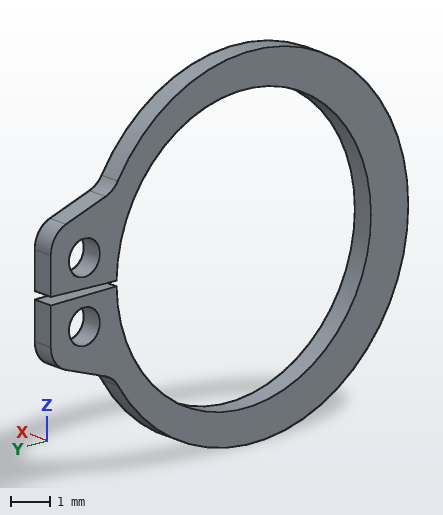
import cadquery as cq
import math

thickness = 0.64
bore_radius = 4.3
outer_radius = 5.3
overall_length = 12.09
outer_offset = 0.265

lug_end = overall_length - outer_radius - outer_offset
lug_end_half_height = 1.79
lug_flare_angle = 19.0
lug_corner_radius = 0.77
neck_radius = 0.77
gap_half_angle = 1.0

hole_diameter = 1.04
hole_y = 5.39
hole_z = 0.93


def slab(outline):
    """Extrude a YZ outline symmetrically about the mid-plane."""
    return outline.extrude(thickness / 2, both=True)


def make_lugs():
    """Trapezoid for both lugs, widening from the lug end to the bore axis."""
    root_half_height = lug_end_half_height + lug_end * math.tan(math.radians(lug_flare_angle))
    outline = [
        (0, -root_half_height),
        (lug_end, -lug_end_half_height),
        (lug_end, lug_end_half_height),
        (0, root_half_height),
    ]
    return slab(cq.Workplane("YZ").polyline(outline).close())


def make_blank():
    """Outer disc with the lugs, rounded at the lug corners and necks."""
    disc = slab(cq.Workplane("YZ").center(-outer_offset, 0).circle(outer_radius))
    blank = disc.union(make_lugs())

    corner_edges = cq.selectors.BoxSelector(
        (-thickness, lug_end - lug_corner_radius / 2, -outer_radius),
        (thickness, lug_end + lug_corner_radius / 2, outer_radius),
    )
    blank = blank.edges("|X").edges(corner_edges).fillet(lug_corner_radius)

    neck_edges = cq.selectors.BoxSelector(
        (-thickness, bore_radius / 2, -outer_radius),
        (thickness, bore_radius + neck_radius, outer_radius),
    )
    return blank.edges("|X").edges(neck_edges).fillet(neck_radius)


def make_gap():
    """Wedge with its tip on the bore axis, separating the two lugs."""
    reach = outer_radius + lug_end
    half_width = reach * math.tan(math.radians(gap_half_angle))
    outline = [(0, 0), (reach, -half_width), (reach, half_width)]
    return slab(cq.Workplane("YZ").polyline(outline).close())


def make_plier_holes():
    centers = [(hole_y, side * hole_z) for side in (-1, 1)]
    return slab(cq.Workplane("YZ").pushPoints(centers).circle(hole_diameter / 2))


bore = slab(cq.Workplane("YZ").circle(bore_radius))
result = make_blank().cut(bore).cut(make_gap()).cut(make_plier_holes())